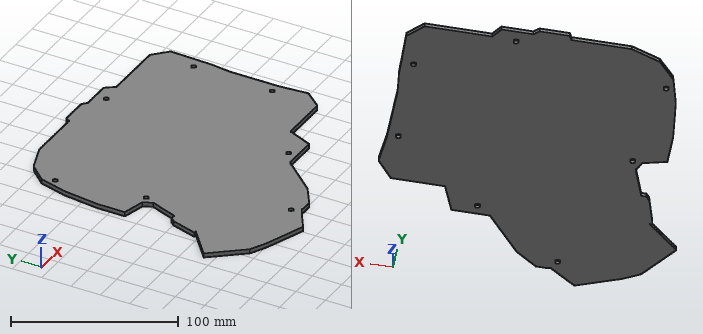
import cadquery as cq

width = 187.7
depth = 182.2
thickness = 3.0
hole_diameter = 3.0

left_side = 17.5
right_waist = 185.0
top_edge = 179.4
shoulder_edge = 173.2
right_lower_edge = 58.4
bottom_edge = 41.8
tab_top = 73.2
palm_edge = 9.8

left_edge = [
    (0, 37.3),
    (19.1, 53.3),
    (17.6, 53.7),
    (22.7, 70.4),
    (25.0, tab_top),
    (28.1, tab_top),
    (34.9, 91.2),
    (32.0, 97.0),
    (left_side, 100.8),
    (left_side, 119.4),
    (20.5, 143.5),
    (25.5, 162.0),
    (35.8, shoulder_edge),
]
upper_edge = [
    (53.9, top_edge),
    (90.5, top_edge),
    (92.1, depth),
    (110.3, depth),
    (113.5, top_edge),
    (132.9, top_edge),
    (137.4, shoulder_edge),
    (178.3, shoulder_edge),
]
right_edge = [
    (width, 164.2),
    (186.7, 135.5),
    (right_waist, 122.4),
    (right_waist, 88.4),
    (186.7, 69.8),
    (177.2, right_lower_edge),
]
lower_edge = [
    (144.3, right_lower_edge),
    (137.4, bottom_edge),
    (114.0, bottom_edge),
    (93.3, 18.4),
    (80.0, palm_edge),
    (73.2, palm_edge),
    (71.3, 10.3),
    (54.8, 0),
    (28.0, 10.1),
    (17.5, 15.5),
]

hole_centers = [
    (28.3, 154.3),
    (38.0, 97.5),
    (122.7, 172.0),
    (179.5, 144.1),
    (178.5, 89.9),
    (122.5, 47.7),
    (68.0, 15.5),
]


def make_plate():
    """Flat plate with the angular outline."""
    outline = left_edge + upper_edge + right_edge + lower_edge
    return cq.Workplane("XY").polyline(outline).close().extrude(thickness)


def drill_holes(plate):
    """Mounting holes through the full thickness."""
    drills = (
        cq.Workplane("XY")
        .pushPoints(hole_centers)
        .circle(hole_diameter / 2)
        .extrude(thickness)
    )
    return plate.cut(drills)


result = drill_holes(make_plate())